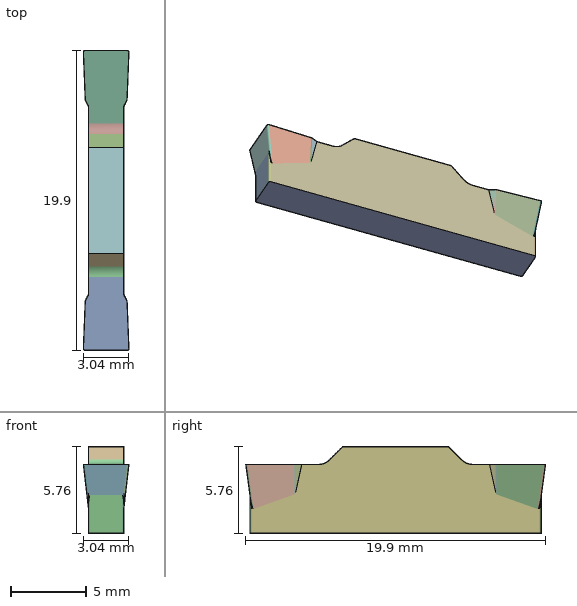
import cadquery as cq

length = 19.94
top_height = 5.76
shoulder_height = 4.59
web_width = 2.35
head_width = 3.05

crown_length = 7.04
ramp_radius = 1.0
ramp_foot = crown_length / 2 + top_height - shoulder_height

relief_drop = 2.05
relief_setback = 0.28
relief_slope = relief_setback / relief_drop
corner_radius = 0.12

head_back_y = 6.68
back_taper = 0.039
side_taper = 0.11
back_run = 2.0
back_radius = 0.2
head_base = 1.0
head_root_half_width = 0.8

edge_tolerance = 0.02


def make_web():
    """Constant-width body with a raised crown and relieved ends."""
    half_length = length / 2
    lower_end = half_length - relief_setback
    relief_height = shoulder_height - relief_drop
    profile = (
        cq.Workplane("YZ")
        .polyline([
            (-lower_end, 0),
            (lower_end, 0),
            (lower_end, relief_height),
            (half_length, shoulder_height),
            (ramp_foot, shoulder_height),
            (crown_length / 2, top_height),
            (-crown_length / 2, top_height),
            (-ramp_foot, shoulder_height),
            (-half_length, shoulder_height),
            (-lower_end, relief_height),
        ])
        .close()
        .extrude(web_width / 2, both=True)
    )
    ramp_feet = cq.selectors.BoxSelector(
        (-web_width, -ramp_foot - edge_tolerance, shoulder_height - edge_tolerance),
        (web_width, ramp_foot + edge_tolerance, shoulder_height + edge_tolerance),
    )
    blended = profile.edges("|X").edges(ramp_feet).fillet(ramp_radius)
    return blended.edges("|Z").edges("<Y or >Y").fillet(corner_radius)


def head_section(z):
    """Closed horizontal outline of the +Y head at height z."""
    depth = shoulder_height - z
    front_y = length / 2 - relief_slope * depth
    edge_half_width = head_width / 2 - side_taper * depth
    front_half_width = edge_half_width - back_taper * (length / 2 - front_y)
    back_half_width = edge_half_width - back_taper * (length / 2 - head_back_y)
    root_y = head_back_y - back_run * (back_half_width - head_root_half_width)
    right_side = [
        (front_half_width, front_y),
        (back_half_width, head_back_y),
        (head_root_half_width, root_y),
    ]
    left_side = [(-x, y) for x, y in reversed(right_side)]
    points = [cq.Vector(x, y, z) for x, y in right_side + left_side]
    return cq.Wire.makePolygon(points, close=True)


def upright_edges_near(head, y):
    """Full-height edges of the head whose midpoint lies close to y."""
    middle_height = (head_base + shoulder_height) / 2
    edges = []
    for edge in head.edges().vals():
        center = edge.Center()
        if abs(center.z - middle_height) < edge_tolerance and abs(center.y - y) < edge_tolerance:
            edges.append(edge)
    return edges


def make_head():
    """Flared +Y head with rounded front corners and back bevels."""
    sections = [head_section(head_base), head_section(shoulder_height)]
    head = cq.Workplane(cq.Solid.makeLoft(sections, True))
    front_y = length / 2 - relief_slope * (shoulder_height - head_base) / 2
    head = head.newObject(upright_edges_near(head, front_y)).fillet(corner_radius)
    return head.newObject(upright_edges_near(head, head_back_y)).fillet(back_radius)


head = make_head()
result = make_web().union(head).union(head.mirror("XZ"))